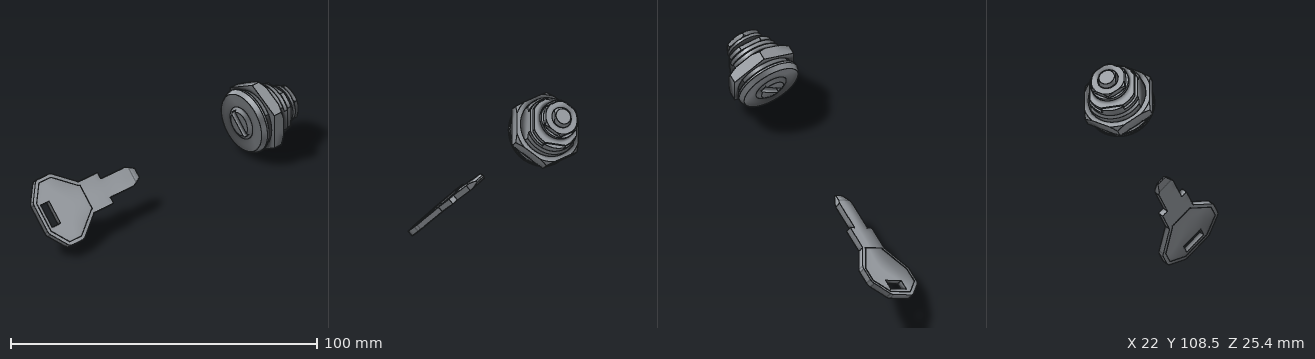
import cadquery as cq
import math


lock_length = 22.1
flange_front = 1.0
core_radius = 5.6
neck_radius = 5.2
head_face_radius = 4.1
plate_front = 14.4
plate_rear = 15.8
plate_radius = 8.4
plate_flats = 15.0
stud_radius = 3.5
stud_flats = 5.6
stud_end_radius = 2.6
stud_chamfer = 1.1

key_angle = 45.0

slot_radius = 4.7
slot_width = 2.4
slot_depth = 5.1

flange_diameter = 22.0
flange_radius = flange_diameter / 2
flange_face_radius = 10.1
flange_rim_front = 2.7
flange_rear = 3.7
flange_rear_chamfer = 0.27
barrel_radius = 9.8
barrel_flats = 16.3
barrel_taper_front = 11.8
barrel_taper_rear = 12.5
barrel_end_radius = 8.9
barrel_rear = 13.9
stop_inner_radius = 7.5
stop_half_angle = 25.0
stop_rear = 15.6
stop_clearance = 0.2

hex_sides = 6
mount_nut_flats = 22.0
mount_nut_front = 5.6
mount_nut_rear = 9.7
mount_nut_face_radius = 11.5
mount_nut_chamfer = 1.0
washer_radius = 6.4
washer_front = 17.7
washer_rear = 18.8
cam_nut_flats = 11.1
cam_nut_rear = 20.7
cam_nut_face_radius = 5.6
cam_nut_chamfer = 0.5

overall_length = 108.5
key_bottom = lock_length - overall_length
key_tip = -44.3
key_thickness = 2.1
tip_width = 3.5
tip_thickness = 0.5
tip_taper_length = 3.9
tip_bevel_length = 2.6
blade_width = 6.8
shank_width = 11.4
shank_top = -58.4
head_top = -66.7
head_width = 24.3
head_side_top = -75.0
head_side_bottom = -81.2
head_bottom_width = 11.1
head_corner_radius = 2.2
panel_inset = 1.3
panel_depth = 0.1
ring_hole_width = 8.1
ring_hole_top = -80.3
ring_hole_bottom = -83.9


def revolve(points):
    """Turn a closed (radius, y) outline about the Y axis."""
    return cq.Workplane("XY").polyline(points).close().revolve(360, (0, 0, 0), (0, 1, 0))


def cylinder(radius, y_start, y_end):
    """Solid cylinder on the Y axis."""
    return revolve([(0, y_start), (radius, y_start), (radius, y_end), (0, y_end)])


def block(x_size, y_start, y_end, z_size):
    """Box centred on the Y axis."""
    y_size = y_end - y_start
    return cq.Workplane("XY").box(x_size, y_size, z_size).translate((0, y_start + y_size / 2, 0))


def hexagon(across_flats, y_start, y_end):
    """Hexagonal prism on the Y axis with corners at top and bottom."""
    corner_radius = across_flats / math.sqrt(3)
    angles = [2 * math.pi * i / hex_sides for i in range(hex_sides)]
    corners = [(corner_radius * math.sin(a), corner_radius * math.cos(a)) for a in angles]
    return cq.Workplane("XZ", origin=(0, y_start, 0)).polyline(corners).close().extrude(y_start - y_end)


def make_plug():
    head = revolve([(0, 0), (head_face_radius, 0), (core_radius, flange_front), (0, flange_front)])
    core = cylinder(core_radius, flange_front, barrel_rear)
    neck = cylinder(neck_radius, barrel_rear, plate_front)
    plate = cylinder(plate_radius, plate_front, plate_rear)
    plate = plate.intersect(block(plate_flats, plate_front, plate_rear, plate_flats))
    stud = revolve([
        (0, plate_rear),
        (stud_radius, plate_rear),
        (stud_radius, lock_length - stud_chamfer),
        (stud_end_radius, lock_length),
        (0, lock_length),
    ])
    stud = stud.intersect(block(stud_flats, plate_rear, lock_length, 2 * stud_radius))
    slot = cylinder(slot_radius, 0, slot_depth).intersect(block(2 * slot_radius, 0, slot_depth, slot_width))
    slot = slot.rotate((0, 0, 0), (0, 1, 0), key_angle)
    return head.union(core).union(neck).union(plate).union(stud).cut(slot)


def make_stop():
    """Ring sector below the axis, standing on the rear of the barrel and cleared for the plug plate."""
    ring = cylinder(barrel_end_radius, barrel_taper_rear, stop_rear)
    ring = ring.cut(cylinder(stop_inner_radius, barrel_taper_rear, stop_rear))
    reach = 2 * barrel_end_radius
    half_spread = reach * math.tan(math.radians(stop_half_angle))
    wedge = (
        cq.Workplane("XZ", origin=(0, barrel_taper_rear, 0))
        .polyline([(0, 0), (half_spread, -reach), (-half_spread, -reach)])
        .close()
        .extrude(barrel_taper_rear - stop_rear)
    )
    clear_size = plate_flats + 2 * stop_clearance
    return ring.intersect(wedge).cut(block(clear_size, plate_front, plate_rear, clear_size))


def make_housing():
    flange = revolve([
        (0, flange_front),
        (flange_face_radius, flange_front),
        (flange_radius, flange_rim_front),
        (flange_radius, flange_rear - flange_rear_chamfer),
        (flange_radius - flange_rear_chamfer, flange_rear),
        (0, flange_rear),
    ])
    barrel = revolve([
        (0, flange_rear),
        (barrel_radius, flange_rear),
        (barrel_radius, barrel_taper_front),
        (barrel_end_radius, barrel_taper_rear),
        (barrel_end_radius, barrel_rear),
        (0, barrel_rear),
    ])
    barrel = barrel.intersect(block(barrel_flats, flange_rear, barrel_rear, 2 * barrel_radius))
    bore = cylinder(core_radius, flange_front, barrel_rear)
    return flange.union(barrel).union(make_stop()).cut(bore)


def make_mount_nut():
    nut = hexagon(mount_nut_flats, mount_nut_front, mount_nut_rear)
    corner_radius = mount_nut_flats / math.sqrt(3)
    envelope = revolve([
        (0, mount_nut_front),
        (corner_radius, mount_nut_front),
        (corner_radius, mount_nut_rear - mount_nut_chamfer),
        (mount_nut_face_radius, mount_nut_rear),
        (0, mount_nut_rear),
    ])
    return nut.intersect(envelope).cut(cylinder(barrel_radius, mount_nut_front, mount_nut_rear))


def make_washer():
    return cylinder(washer_radius, washer_front, washer_rear).cut(
        cylinder(stud_radius, washer_front, washer_rear)
    )


def make_cam_nut():
    nut = hexagon(cam_nut_flats, washer_rear, cam_nut_rear)
    corner_radius = cam_nut_flats / math.sqrt(3)
    envelope = revolve([
        (0, washer_rear),
        (cam_nut_face_radius, washer_rear),
        (corner_radius, washer_rear + cam_nut_chamfer),
        (corner_radius, cam_nut_rear - cam_nut_chamfer),
        (cam_nut_face_radius, cam_nut_rear),
        (0, cam_nut_rear),
    ])
    return nut.intersect(envelope).cut(cylinder(stud_radius, washer_rear, cam_nut_rear))


def mirrored_outline(right_side):
    """Closed sketch in XY from the points of its right half."""
    left_side = [(-x, y) for x, y in reversed(right_side)]
    return cq.Workplane("XY").polyline(right_side + left_side).close()


def make_head_panel():
    """Shallow recess following the head outline at a constant inset."""
    inset_outline = mirrored_outline([
        (shank_width / 2, shank_top),
        (shank_width / 2, head_top),
        (head_width / 2, head_side_top),
        (head_width / 2, head_side_bottom),
        (head_bottom_width / 2, key_bottom),
    ]).offset2D(-panel_inset, "intersection")
    panel = inset_outline.extrude(panel_depth)
    return panel.intersect(block(head_width, key_bottom, head_top, 2 * panel_depth))


def make_key():
    blade = mirrored_outline([
        (tip_width / 2, key_tip),
        (blade_width / 2, key_tip - tip_taper_length),
        (blade_width / 2, shank_top),
    ]).extrude(key_thickness / 2, both=True)
    bevel_start = key_tip - tip_bevel_length
    side_profile = [
        (key_tip, tip_thickness / 2),
        (bevel_start, key_thickness / 2),
        (shank_top, key_thickness / 2),
        (shank_top, -key_thickness / 2),
        (bevel_start, -key_thickness / 2),
        (key_tip, -tip_thickness / 2),
    ]
    blade = blade.intersect(
        cq.Workplane("YZ").polyline(side_profile).close().extrude(blade_width / 2, both=True)
    )
    shank = block(shank_width, head_top, shank_top, key_thickness)
    head = mirrored_outline([
        (shank_width / 2, head_top),
        (head_width / 2, head_side_top),
        (head_width / 2, head_side_bottom),
        (head_bottom_width / 2, key_bottom),
    ]).extrude(key_thickness / 2, both=True)
    neck_limit = (head_top + head_side_top) / 2
    below_neck = cq.selectors.BoxSelector(
        (-head_width, key_bottom - key_thickness, -key_thickness),
        (head_width, neck_limit, key_thickness),
    )
    head = head.edges("|Z").edges(below_neck).fillet(head_corner_radius)
    key = blade.union(shank).union(head)
    ring_hole = block(ring_hole_width, ring_hole_bottom, ring_hole_top, key_thickness)
    panel = make_head_panel()
    key = key.cut(ring_hole)
    key = key.cut(panel.translate((0, 0, key_thickness / 2 - panel_depth)))
    key = key.cut(panel.translate((0, 0, -key_thickness / 2)))
    return key.rotate((0, 0, 0), (0, 1, 0), key_angle)


plug = make_plug()
housing = make_housing()
mount_nut = make_mount_nut()
washer = make_washer()
cam_nut = make_cam_nut()
key = make_key()

result = cq.Compound.makeCompound([
    plug.val(),
    housing.val(),
    mount_nut.val(),
    washer.val(),
    cam_nut.val(),
    key.val(),
])